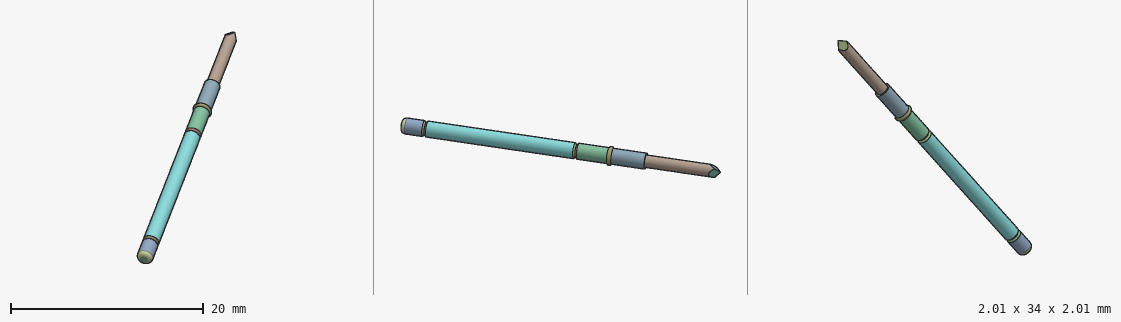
import cadquery as cq
import math

total_length = 34.0

barrel_length = 26.0
barrel_radius = 0.85
tail_fillet = 0.48

ring_radius = 1.003
ring_width = 0.48
ring_y = barrel_length - 3.77

groove_depth = 0.2
groove_positions = (2.5, barrel_length - 7.4)

plunger_radius = 0.663
point_sides = 3
facet_angle = 30.0
point_length = plunger_radius / math.tan(math.radians(facet_angle))


def revolve_about_axis(profile):
    """Turn a profile drawn in XY, with X as the radius, around the Y axis."""
    return profile.close().revolve(360, (0, 0, 0), (0, 1, 0))


def make_cylinder(radius, start_y, end_y):
    profile = (
        cq.Workplane("XY")
        .moveTo(0, start_y)
        .lineTo(radius, start_y)
        .lineTo(radius, end_y)
        .lineTo(0, end_y)
    )
    return revolve_about_axis(profile)


def make_barrel():
    barrel = make_cylinder(barrel_radius, 0, barrel_length)
    return barrel.faces("<Y").edges().fillet(tail_fillet)


def make_press_ring():
    start_y = ring_y - ring_width / 2
    end_y = ring_y + ring_width / 2
    profile = (
        cq.Workplane("XY")
        .moveTo(0, start_y)
        .lineTo(barrel_radius, start_y)
        .threePointArc((ring_radius, ring_y), (barrel_radius, end_y))
        .lineTo(0, end_y)
    )
    return revolve_about_axis(profile)


def make_groove(groove_y):
    profile = (
        cq.Workplane("XY")
        .moveTo(barrel_radius, groove_y - groove_depth)
        .lineTo(barrel_radius - groove_depth, groove_y)
        .lineTo(barrel_radius, groove_y + groove_depth)
    )
    return revolve_about_axis(profile)


def make_facet_cutter():
    """Wedge beyond the facet that faces +X."""
    profile = (
        cq.Workplane("XY")
        .moveTo(0, total_length)
        .lineTo(plunger_radius, total_length - point_length)
        .lineTo(plunger_radius, total_length)
        .close()
    )
    return profile.extrude(plunger_radius, both=True)


def make_plunger():
    plunger = make_cylinder(plunger_radius, barrel_length, total_length)
    cutter = make_facet_cutter()
    for side in range(point_sides):
        turn = side * 360 / point_sides
        plunger = plunger.cut(cutter.rotate((0, 0, 0), (0, 1, 0), turn))
    return plunger


result = make_barrel().union(make_press_ring()).union(make_plunger())
for groove_y in groove_positions:
    result = result.cut(make_groove(groove_y))